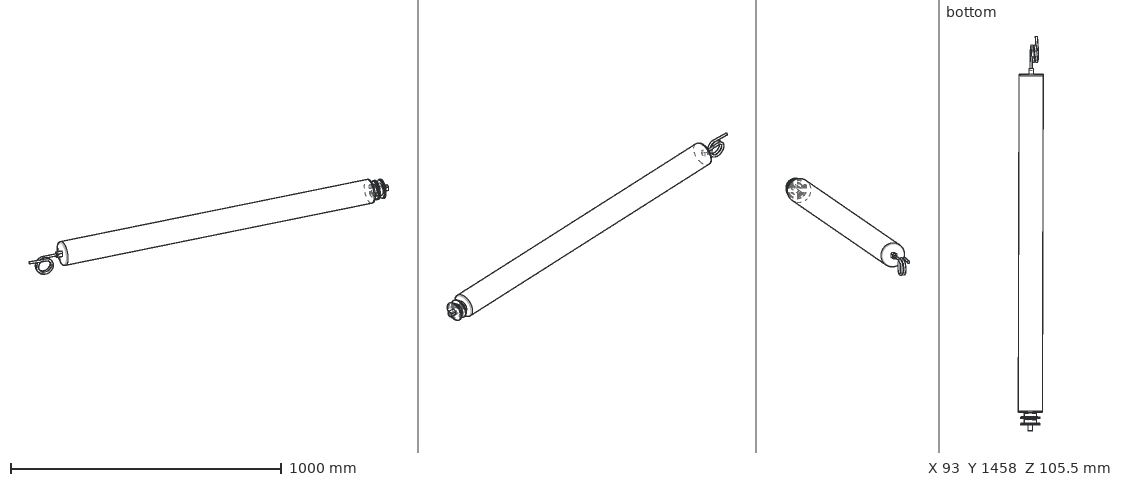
import cadquery as cq
import math

overall_length = 1458

drum_diameter = 90.0
capped_length = 1250.0
cap_thickness = 6.0
cap_edge_radius = 3.0

shaft_diameter = 22.0
shaft_across_flats = 17.0
sprocket_stub_length = 69.0
cable_stub_length = 22.0

sprocket_count = 2
sprocket_length = 20.0
sprocket_gap = 3.0
sprocket_pitch = sprocket_length + sprocket_gap
hub_diameter = 47.0
flange_diameter = 73
flange_thickness = 7.0
flange_rim = 5.0
flange_taper_drop = 3.0

cable_diameter = 9.0
cable_radius = cable_diameter / 2
cable_socket_depth = 7.0
cable_start = -capped_length - cable_stub_length + cable_socket_depth
cable_tip = sprocket_stub_length - overall_length
coil_outer_diameter = 65.0
coil_radius = (coil_outer_diameter - cable_diameter) / 2
coil_pitch = 12.0
coil_turns = 2
coil_center_y = -1325.0
points_per_turn = 8
tail_angle = 4

roller_skew = 0.14


def section_plane(y):
    """Workplane square to the roller axis; a negative extrusion runs toward +Y."""
    return cq.Workplane("XZ", origin=(0, y, 0))


def cylinder(diameter, y_start, length):
    """Cylinder on the roller axis that runs from y_start toward +Y."""
    return section_plane(y_start).circle(diameter / 2).extrude(-length)


def shaft_bar(y_start, length):
    """Round bar with two flats that runs from y_start toward +Y."""
    flats = section_plane(y_start).rect(shaft_across_flats, shaft_diameter).extrude(-length)
    return cylinder(shaft_diameter, y_start, length).intersect(flats)


def make_drum():
    """Plain cylinder between the two end caps."""
    return cylinder(drum_diameter, cap_thickness - capped_length, capped_length - 2 * cap_thickness)


def make_end_cap(disc_start, outer_side, stub_start, stub_length):
    """Disc with a rounded outer rim, in one piece with its shaft stub; outer_side picks the outer face."""
    disc = cylinder(drum_diameter, disc_start, cap_thickness)
    disc = disc.faces(outer_side).edges().fillet(cap_edge_radius)
    return disc.union(shaft_bar(stub_start, stub_length))


def make_sprocket_side_cap():
    return make_end_cap(-cap_thickness, ">Y", 0, sprocket_stub_length)


def make_cable_side_cap():
    """End cap whose stub has a socket for the start of the cable."""
    stub_end = -capped_length - cable_stub_length
    cap = make_end_cap(-capped_length, "<Y", stub_end, cable_stub_length)
    return cap.cut(cylinder(cable_diameter, stub_end, cable_socket_depth))


def make_sprocket(y_start):
    """Hub from y_start toward +Y; its flange is flush with the outer end and tapers toward the drum."""
    hub_radius = hub_diameter / 2
    flange_radius = flange_diameter / 2
    flange_start = sprocket_length - flange_thickness
    outline = [
        (0, 0),
        (hub_radius, 0),
        (hub_radius, flange_start),
        (flange_radius - flange_taper_drop, flange_start),
        (flange_radius, sprocket_length - flange_rim),
        (flange_radius, sprocket_length),
        (0, sprocket_length),
    ]
    body = cq.Workplane("XY").polyline(outline).close().revolve(360, (0, 0, 0), (0, 1, 0))
    return body.cut(shaft_bar(0, sprocket_length)).translate((0, y_start, 0))


def coil_point(turn):
    """Centre-line point after a number of turns, counted from the top of the coil toward -Y and down."""
    angle = 2 * math.pi * turn
    y = coil_center_y - coil_radius * math.sin(angle)
    z = coil_radius * (math.cos(angle) - 1)
    return cq.Vector(coil_pitch * turn, y, z)


def make_cable():
    """Round cable swept along lead, coil and tail, which join tangentially."""
    lean = math.radians(tail_angle)
    lead_direction = cq.Vector(0, -1, 0)
    tail_direction = cq.Vector(-math.sin(lean), -math.cos(lean), 0)
    tail_length = (coil_center_y - cable_tip - cable_radius * math.sin(lean)) / math.cos(lean)

    lead_start = cq.Vector(0, cable_start, 0)
    last_point = coil_turns * points_per_turn
    coil_points = [coil_point(i / points_per_turn) for i in range(last_point + 1)]
    coil_start = coil_points[0]
    coil_end = coil_points[-1]

    lead = cq.Edge.makeLine(lead_start, coil_start)
    coil = cq.Edge.makeSpline(coil_points, tangents=[lead_direction, tail_direction], scale=False)
    tail = cq.Edge.makeLine(coil_end, coil_end + tail_direction * tail_length)
    path = cq.Wire.assembleEdges([lead, coil, tail])
    return section_plane(cable_start).circle(cable_radius).sweep(cq.Workplane(obj=path))


sprockets = [make_sprocket(sprocket_gap + i * sprocket_pitch) for i in range(sprocket_count)]
bodies = [
    make_drum(),
    make_sprocket_side_cap(),
    make_cable_side_cap(),
    *sprockets,
    make_cable(),
]
result = cq.Compound.makeCompound(
    [body.rotate((0, 0, 0), (0, 0, 1), roller_skew).solids().val() for body in bodies]
)